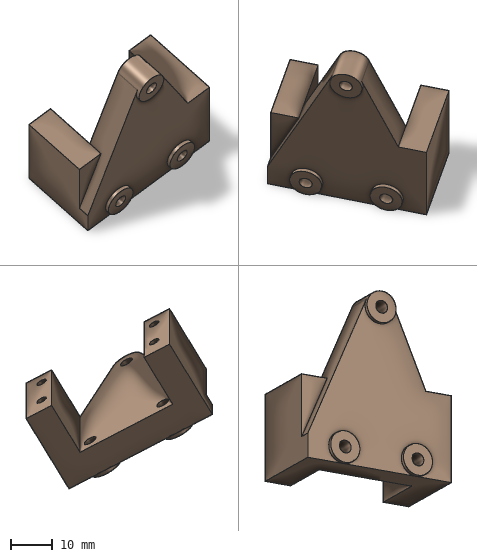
import cadquery as cq
import math

width = 39.5
plate_back = 21.0
plate_thickness = 7.0
plate_front = plate_back - plate_thickness

boss_radius = 4.0
boss_height = 1.0
mount_hole_diameter = 3.2
apex_height = 41.0
mount_half_spacing = 10.0
mount_points = [
    (0, apex_height),
    (-mount_half_spacing, boss_radius),
    (mount_half_spacing, boss_radius),
]

arm_thickness = 7.0
arm_height = 22.0
short_arm_length = 18.0

screw_hole_diameter = 2.5
screw_hole_depth = 10.0
drill_point_angle = 118.0
screw_half_spacing = 15.5
screw_heights = (6.5, 17.5)


def plate_plane(x):
    """YZ plane at the given X, facing +X."""
    return cq.Workplane("YZ", origin=(x, 0, 0))


def make_plate():
    """Plate whose sides slope down from the apex round through the inner top edges of the arms."""
    half_width = width / 2
    arm_inner_y = half_width - arm_thickness
    drop = apex_height - arm_height
    corner_distance = math.hypot(arm_inner_y, drop)
    tangent_angle = math.acos(boss_radius / corner_distance) - math.atan2(drop, arm_inner_y)
    tangent_y = boss_radius * math.cos(tangent_angle)
    tangent_z = apex_height + boss_radius * math.sin(tangent_angle)
    shoulder_height = arm_height - arm_thickness / math.tan(tangent_angle)
    return (
        plate_plane(plate_front)
        .moveTo(-half_width, 0)
        .lineTo(half_width, 0)
        .lineTo(half_width, shoulder_height)
        .lineTo(tangent_y, tangent_z)
        .threePointArc((0, apex_height + boss_radius), (-tangent_y, tangent_z))
        .lineTo(-half_width, shoulder_height)
        .close()
        .extrude(plate_thickness)
    )


def make_arm(length, side):
    """Arm starting at X = 0 on the -Y (side = -1) or +Y (side = 1) edge."""
    center_y = side * (width - arm_thickness) / 2
    return (
        cq.Workplane("XY", origin=(length / 2, center_y, 0))
        .rect(length, arm_thickness)
        .extrude(arm_height)
    )


def make_bosses():
    """Round pads on the back of the plate, one around each mounting hole."""
    return (
        plate_plane(plate_back)
        .pushPoints(mount_points)
        .circle(boss_radius)
        .extrude(boss_height)
    )


def make_mount_holes():
    """Through-hole cutters along X."""
    return (
        plate_plane(plate_front)
        .pushPoints(mount_points)
        .circle(mount_hole_diameter / 2)
        .extrude(plate_thickness + boss_height)
    )


def make_screw_hole(y, z):
    """Blind drilled hole cutter with a conical bottom, entering at X = 0."""
    radius = screw_hole_diameter / 2
    point_length = radius / math.tan(math.radians(drill_point_angle / 2))
    return (
        cq.Workplane("XY")
        .polyline([
            (0, 0),
            (screw_hole_depth + point_length, 0),
            (screw_hole_depth, radius),
            (0, radius),
        ])
        .close()
        .revolve(360, (0, 0, 0), (1, 0, 0))
        .translate((0, y, z))
    )


bracket = (
    make_plate()
    .union(make_arm(short_arm_length, -1))
    .union(make_arm(plate_back, 1))
    .union(make_bosses())
    .cut(make_mount_holes())
)
for side in (-1, 1):
    for height in screw_heights:
        bracket = bracket.cut(make_screw_hole(side * screw_half_spacing, height))

result = bracket